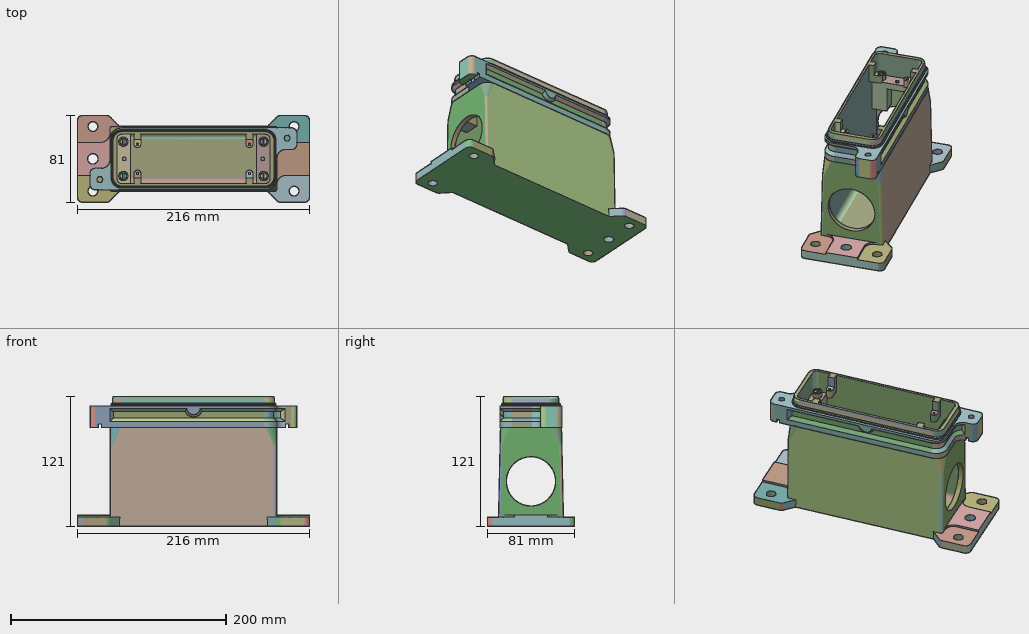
import cadquery as cq
SEAT_TOP = 8.53
FLOOR_TOP = 10.4
STRIP_TOP = 10.48
FLARE_START = 74.0
FLANGE_BOTTOM = 91.8
FLANGE_TOP = 112.0
GASKET_TOP = 114.7
RIM_TOP = 121.0

LENGTH = 216.0
WIDTH = 81.0
FOOT_CHAMFER_START = 79.0
FOOT_CORNER_RADIUS = 5.0
FOOT_ROOT_RADIUS = 3.2
FOOT_ROOT_Y = 30.0
STRIP_HALF_WIDTH = 15.3
STRIP_FLARE_RADIUS = 8.6
BOLT_X = 93.5
BOLT_Y = 30.0
BOLT_DIAMETER = 8.9
CENTRE_HOLE_DIAMETER = 9.5

BODY_HALF_LENGTH = 77.5
BODY_BASE_HALF_WIDTH = 30.5
BODY_TOP_HALF_WIDTH = 28.5
BODY_CORNER_RADIUS = 2.2
BODY_TOP_CORNER_RADIUS = 9.7
CABLE_HOLE_DIAMETER = 45.5
CABLE_HOLE_Z = 42.0

CAVITY_HALF_LENGTH = 71.0
CHAMBER_HALF_LENGTH = 72.8
CAVITY_HALF_WIDTH = 23.0
CAVITY_CORNER_RADIUS = 4.3
CAVITY_FLOOR_RADIUS = 4.8

FLANGE_HALF_LENGTH = 77.8
FLANGE_HALF_WIDTH = 29.0
FLANGE_CORNER_RADIUS = 11.7
EAR_END_X = 96.1
EAR_INNER_Y = 8.6
EAR_ROOT_RADIUS = 7.5
EAR_CORNER_RADIUS = 5.0
EAR_HOLE_X = 87.0
EAR_HOLE_Y = 19.2
EAR_HOLE_DIAMETER = 5.5
EAR_SLOT_WIDTH = 2.8
EAR_SLOT_HEIGHT = 3.2

GROOVE_DEPTH = 3.2
GROOVE_BOTTOM = 97.6
GROOVE_TOP = 109.5
GROOVE_FLOOR_BOTTOM = 100.9
GROOVE_FLOOR_TOP = 106.7
GROOVE_END_X = 85.0
GROOVE_START_ANGLE = 135
GROOVE_EAR_ANGLE = 60
STOP_Z = 110.2
STOP_OUTER_RADIUS = 6.3
STOP_INNER_RADIUS = 8.5

RIM_HALF_LENGTH = 75.4
RIM_HALF_WIDTH = 26.0
RIM_CORNER_RADIUS = 8.6
RIM_CHAMFER_HEIGHT = 2.4
RIM_CHAMFER_WIDTH = 0.6
GASKET_OVERHANG = 1.3
GASKET_CHAMFER = 0.9

LEDGE_INNER_X = 58.5
LEDGE_BOTTOM = 91.4
LEDGE_TOP = 97.8
SUPPORT_BOTTOM = 67.0
SUPPORT_GAP_HALF_WIDTH = 8.2
SCREW_X = 65.2
SCREW_Y = 16.0
SCREW_TOP = 103.0
SCREW_RADIUS = 4.3
SCREW_RECESS_RADIUS = 3.0
SCREW_RECESS_DEPTH = 0.9
SCREW_SLOT_WIDTH = 1.0
SCREW_SLOT_DEPTH = 1.7
DIMPLE_X = 64.4
DIMPLE_RADIUS = 1.7
DIMPLE_DEPTH = 0.6

LUG_X = 52.0
LUG_WIDTH = 6.3
LUG_CENTRE_Y = 13.5
LUG_HOLE_RADIUS = 1.0
LUG_HOLE_DEPTH = 4.3
LUG_BOTTOM = 102.5
LUG_TOP = 110.5
RIB_INNER_Y = 18.0

SIDES = (-1, 1)
OVERLAP = 1.0


def block(x0, x1, y0, y1, z0, z1):
    """Axis-aligned box between two opposite corners."""
    return cq.Workplane("XY").box(x1 - x0, y1 - y0, z1 - z0, centered=False).translate((x0, y0, z0))


def cylinder(radius, x, y, z0, z1):
    """Upright cylinder."""
    return cq.Workplane("XY", origin=(x, y, z0)).circle(radius).extrude(z1 - z0)


def rounded_block(half_length, half_width, radius, z0, z1):
    """Centred upright block with rounded vertical edges."""
    box = block(-half_length, half_length, -half_width, half_width, z0, z1)
    return box.edges("|Z").fillet(radius)


def half_turn(shape):
    return shape.rotate((0, 0, 0), (0, 0, 1), 180)


def body_half_width(z):
    taper = (BODY_BASE_HALF_WIDTH - BODY_TOP_HALF_WIDTH) / FLANGE_BOTTOM
    return BODY_BASE_HALF_WIDTH - taper * z


def straight_body():
    """Body below the widening corners, tapered in Y only."""
    base = BODY_BASE_HALF_WIDTH
    top = body_half_width(FLARE_START)
    profile = [(-base, 0), (base, 0), (top, FLARE_START), (-top, FLARE_START)]
    trapezoid = cq.Workplane("YZ", origin=(-BODY_HALF_LENGTH, 0, 0)).polyline(profile).close()
    body = trapezoid.extrude(2 * BODY_HALF_LENGTH)
    return body.edges("not #Z").edges("not |Y").edges("not |X").fillet(BODY_CORNER_RADIUS)


def flared_body():
    """Body under the flange, with corner radii that grow towards the top."""
    def profile(z, radius):
        rectangle = cq.Sketch().rect(2 * BODY_HALF_LENGTH, 2 * body_half_width(z))
        return rectangle.vertices().fillet(radius).moved(cq.Location(cq.Vector(0, 0, z)))

    lower = profile(FLARE_START, BODY_CORNER_RADIUS)
    upper = profile(FLANGE_BOTTOM, BODY_TOP_CORNER_RADIUS)
    return cq.Workplane("XY").placeSketch(lower, upper).loft(ruled=True)


def foot():
    """Mounting foot at the -X end."""
    end_x = -LENGTH / 2
    half_width = WIDTH / 2
    root_x = -FOOT_CHAMFER_START + half_width - FOOT_ROOT_Y
    inside_x = root_x + 2 * FOOT_ROOT_RADIUS
    half_outline = [
        (inside_x, FOOT_ROOT_Y),
        (root_x, FOOT_ROOT_Y),
        (-FOOT_CHAMFER_START, half_width),
        (end_x, half_width),
    ]
    mirrored = [(x, -y) for x, y in reversed(half_outline)]
    plate = cq.Workplane("XY").polyline(half_outline + mirrored).close().extrude(SEAT_TOP)
    outer_zone = cq.selectors.BoxSelector(
        (end_x - 2.2, -WIDTH, -2.2), (-FOOT_CHAMFER_START + 2.2, WIDTH, WIDTH))
    plate = plate.edges("|Z").edges(outer_zone).fillet(FOOT_CORNER_RADIUS)
    root_zone = cq.selectors.BoxSelector(
        (root_x - 0.2, -WIDTH, -2.2), (root_x + 0.2, WIDTH, WIDTH))
    plate = plate.edges("|Z").edges(root_zone).fillet(FOOT_ROOT_RADIUS)
    return plate.union(foot_strip())


def foot_strip():
    """Raised centre strip that flares out where it meets the body."""
    end_x = -LENGTH / 2
    flare_x = -BODY_HALF_LENGTH - STRIP_FLARE_RADIUS
    flare_y = STRIP_HALF_WIDTH + STRIP_FLARE_RADIUS
    inside_x = -BODY_HALF_LENGTH + OVERLAP
    outline = (
        cq.Workplane("XY")
        .moveTo(end_x, -STRIP_HALF_WIDTH)
        .lineTo(flare_x, -STRIP_HALF_WIDTH)
        .radiusArc((-BODY_HALF_LENGTH, -flare_y), STRIP_FLARE_RADIUS)
        .lineTo(inside_x, -flare_y)
        .lineTo(inside_x, flare_y)
        .lineTo(-BODY_HALF_LENGTH, flare_y)
        .radiusArc((flare_x, STRIP_HALF_WIDTH), STRIP_FLARE_RADIUS)
        .lineTo(end_x, STRIP_HALF_WIDTH)
        .close()
    )
    return outline.extrude(STRIP_TOP)


def flange_plate():
    """Flange outline with an ear at (+X, +Y) and its half turn at (-X, -Y)."""
    def ear():
        plate = block(0, EAR_END_X, EAR_INNER_Y, FLANGE_HALF_WIDTH, FLANGE_BOTTOM, FLANGE_TOP)
        return plate.edges("|Z and >X").fillet(EAR_CORNER_RADIUS)

    core = rounded_block(
        FLANGE_HALF_LENGTH, FLANGE_HALF_WIDTH, FLANGE_CORNER_RADIUS, FLANGE_BOTTOM, FLANGE_TOP)
    plate = core.union(ear()).union(half_turn(ear()))
    root_zones = [
        cq.selectors.BoxSelector(
            (side * FLANGE_HALF_LENGTH - 0.2, side * EAR_INNER_Y - 0.2, 0),
            (side * FLANGE_HALF_LENGTH + 0.2, side * EAR_INNER_Y + 0.2, LENGTH))
        for side in SIDES
    ]
    return plate.edges("|Z").edges(root_zones[0] + root_zones[1]).fillet(EAR_ROOT_RADIUS)


def end_trim(x, y, angle):
    """Block whose sloping face through (x, y) closes off one groove end."""
    size = 4 * GROOVE_DEPTH
    trim = block(0, size, -size, size, FLANGE_BOTTOM, FLANGE_TOP)
    return trim.rotate((0, 0, 0), (0, 0, 1), angle).translate((x, y, 0))


def conical_stop():
    """Cone left standing in the groove at mid length of the -Y side."""
    growth = (STOP_INNER_RADIUS - STOP_OUTER_RADIUS) / GROOVE_DEPTH
    length = GROOVE_DEPTH + OVERLAP
    cone = cq.Solid.makeCone(
        STOP_OUTER_RADIUS, STOP_OUTER_RADIUS + growth * length, length,
        pnt=cq.Vector(0, -FLANGE_HALF_WIDTH, STOP_Z), dir=cq.Vector(0, 1, 0))
    return cq.Workplane(cone)


def groove():
    """Cutter for the groove along the -Y side, the +X side and into the ear root."""
    side_y = -FLANGE_HALF_WIDTH
    root_y = EAR_INNER_Y - EAR_ROOT_RADIUS
    start_x = -FLANGE_HALF_LENGTH
    path = (
        cq.Workplane("XY")
        .moveTo(start_x, side_y)
        .lineTo(FLANGE_HALF_LENGTH - FLANGE_CORNER_RADIUS, side_y)
        .radiusArc((FLANGE_HALF_LENGTH, side_y + FLANGE_CORNER_RADIUS), -FLANGE_CORNER_RADIUS)
        .lineTo(FLANGE_HALF_LENGTH, root_y)
        .radiusArc((FLANGE_HALF_LENGTH + EAR_ROOT_RADIUS, EAR_INNER_Y), EAR_ROOT_RADIUS)
    )
    profile = (
        cq.Workplane("YZ", origin=(start_x, side_y, 0))
        .polyline([
            (0, GROOVE_BOTTOM),
            (GROOVE_DEPTH, GROOVE_FLOOR_BOTTOM),
            (GROOVE_DEPTH, GROOVE_FLOOR_TOP),
            (0, GROOVE_TOP),
        ])
        .close()
    )
    cutter = profile.sweep(path)
    cutter = cutter.cut(end_trim(start_x, side_y, GROOVE_START_ANGLE))
    cutter = cutter.cut(end_trim(GROOVE_END_X, EAR_INNER_Y, GROOVE_EAR_ANGLE))
    return cutter.cut(conical_stop())


def flange():
    plate = flange_plate()
    plate = plate.cut(groove()).cut(half_turn(groove()))
    for side in SIDES:
        x = side * EAR_HOLE_X
        y = side * EAR_HOLE_Y
        half_slot = EAR_SLOT_WIDTH / 2
        slot_top = FLANGE_BOTTOM + EAR_SLOT_HEIGHT
        slot = block(x - half_slot, x + half_slot, -WIDTH, WIDTH, FLANGE_BOTTOM, slot_top)
        plate = plate.cut(slot)
        plate = plate.cut(cylinder(EAR_HOLE_DIAMETER / 2, x, y, FLANGE_BOTTOM, FLANGE_TOP))
    return plate


def rim():
    """Upright collar with a bevelled top and a gasket bead at its foot."""
    collar = rounded_block(
        RIM_HALF_LENGTH, RIM_HALF_WIDTH, RIM_CORNER_RADIUS, FLANGE_TOP - OVERLAP, RIM_TOP)
    collar = collar.faces(">Z").chamfer(RIM_CHAMFER_HEIGHT, RIM_CHAMFER_WIDTH)
    gasket = rounded_block(
        RIM_HALF_LENGTH + GASKET_OVERHANG, RIM_HALF_WIDTH + GASKET_OVERHANG,
        RIM_CORNER_RADIUS + GASKET_OVERHANG, FLANGE_TOP, GASKET_TOP)
    gasket = gasket.faces("<Z or >Z").chamfer(GASKET_CHAMFER)
    return collar.union(gasket)


def cavity():
    space = rounded_block(
        CAVITY_HALF_LENGTH, CAVITY_HALF_WIDTH, CAVITY_CORNER_RADIUS, 0, RIM_TOP)
    chamber = block(
        -CHAMBER_HALF_LENGTH, CHAMBER_HALF_LENGTH, -CAVITY_HALF_WIDTH, CAVITY_HALF_WIDTH, 0, LEDGE_BOTTOM)
    trough = block(-LENGTH, LENGTH, -CAVITY_HALF_WIDTH, CAVITY_HALF_WIDTH, FLOOR_TOP, RIM_TOP)
    trough = trough.edges("|X and <Z").fillet(CAVITY_FLOOR_RADIUS)
    return space.union(chamber).intersect(trough)


def ledge():
    """Ledge at the -X end, its two supports, screw heads and centre dimple."""
    back_x = -CHAMBER_HALF_LENGTH - OVERLAP
    half_width = CAVITY_HALF_WIDTH + OVERLAP
    gap = SUPPORT_GAP_HALF_WIDTH
    shelf = block(back_x, -LEDGE_INNER_X, -half_width, half_width, SUPPORT_BOTTOM, LEDGE_TOP)
    shelf = shelf.cut(block(-CHAMBER_HALF_LENGTH, -LEDGE_INNER_X, -gap, gap, SUPPORT_BOTTOM, LEDGE_BOTTOM))
    shelf = shelf.cut(cylinder(DIMPLE_RADIUS, -DIMPLE_X, 0, LEDGE_TOP - DIMPLE_DEPTH, LEDGE_TOP))
    for side in SIDES:
        shelf = shelf.union(screw_head(-SCREW_X, side * SCREW_Y))
    return shelf


def screw_head(x, y):
    """Screw head with a round recess and a driving slot."""
    recess_z = SCREW_TOP - SCREW_RECESS_DEPTH
    half_slot = SCREW_SLOT_WIDTH / 2
    head = cylinder(SCREW_RADIUS, x, y, LEDGE_TOP - OVERLAP, SCREW_TOP)
    slot = block(
        x - half_slot, x + half_slot, y - SCREW_RECESS_RADIUS, y + SCREW_RECESS_RADIUS,
        recess_z - SCREW_SLOT_DEPTH, recess_z)
    return head.cut(cylinder(SCREW_RECESS_RADIUS, x, y, recess_z, SCREW_TOP)).cut(slot)


def lug(x):
    """Rib on the +Y cavity wall with a drilled round-ended lug at its foot."""
    half = LUG_WIDTH / 2
    wall_y = CAVITY_HALF_WIDTH + OVERLAP
    rib = block(x - half, x + half, RIB_INNER_Y, wall_y, LUG_BOTTOM, RIM_TOP)
    rib = rib.union(block(x - half, x + half, LUG_CENTRE_Y, wall_y, LUG_BOTTOM, LUG_TOP))
    rib = rib.union(cylinder(half, x, LUG_CENTRE_Y, LUG_BOTTOM, LUG_TOP))
    return rib.cut(cylinder(LUG_HOLE_RADIUS, x, LUG_CENTRE_Y, LUG_TOP - LUG_HOLE_DEPTH, LUG_TOP))


shell = straight_body().union(flared_body())
shell = shell.union(foot()).union(half_turn(foot()))
shell = shell.union(flange()).union(rim())

shell = shell.cut(cavity())
shell = shell.union(ledge()).union(half_turn(ledge()))
for lug_x in (-LUG_X, LUG_X):
    shell = shell.union(lug(lug_x)).union(half_turn(lug(lug_x)))

cable_hole = (
    cq.Workplane("YZ", origin=(-LENGTH / 2, 0, CABLE_HOLE_Z))
    .circle(CABLE_HOLE_DIAMETER / 2)
    .extrude(LENGTH)
)
shell = shell.cut(cable_hole)

for side_x in SIDES:
    for side_y in SIDES:
        shell = shell.cut(cylinder(BOLT_DIAMETER / 2, side_x * BOLT_X, side_y * BOLT_Y, 0, SEAT_TOP))
result = shell.cut(cylinder(CENTRE_HOLE_DIAMETER / 2, -BOLT_X, 0, 0, STRIP_TOP))